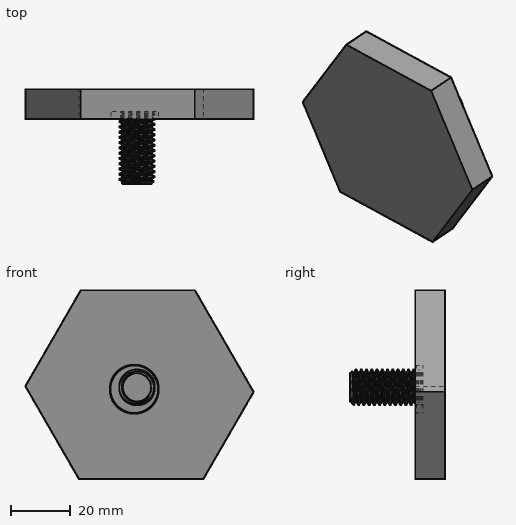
import cadquery as cq
import math

plate_width = 76.2
plate_height = 63.0
plate_thickness = 10.0
left_corner_z = -0.5
right_corner_z = -2.45
side_angle = 60.0

recess_diameter = 15.85
recess_rim_chamfer = 0.3
recess_depth = 2.5
recess_x = -1.75
recess_z = -1.5

overall_depth = 31.7
stud_x = -0.85
stud_z = -0.9
thread_diameter = 12.0
thread_pitch = 1.75
thread_depth = 1.1
crest_width = thread_pitch / 8
root_width = thread_pitch / 4
tip_chamfer = 1.3
ridge_embed = 0.04
envelope_clearance = 0.4
crest_radius = thread_diameter / 2
root_radius = crest_radius - thread_depth

front_y = 0.0
back_y = front_y + plate_thickness
recess_floor_y = front_y + recess_depth
tip_y = back_y - overall_depth
stud_length = recess_floor_y - tip_y


def front_workplane(x, y, z):
    """Workplane facing -Y: local X is X and local Y is Z."""
    return cq.Workplane("XZ", origin=(x, y, z))


def side_run(corner_z, edge_z):
    """X distance covered by a slanted side between a corner and a horizontal edge."""
    return abs(edge_z - corner_z) / math.tan(math.radians(side_angle))


def make_plate():
    half_width = plate_width / 2
    half_height = plate_height / 2
    outline = [
        (-half_width, left_corner_z),
        (-half_width + side_run(left_corner_z, half_height), half_height),
        (half_width - side_run(right_corner_z, half_height), half_height),
        (half_width, right_corner_z),
        (half_width - side_run(right_corner_z, -half_height), -half_height),
        (-half_width + side_run(left_corner_z, -half_height), -half_height),
    ]
    blank = front_workplane(0, back_y, 0).polyline(outline).close().extrude(plate_thickness)
    recess_radius = recess_diameter / 2
    recess = (
        front_workplane(recess_x, recess_floor_y, recess_z)
        .circle(recess_radius)
        .extrude(recess_depth)
    )
    rim_bevel = cq.Workplane(
        cq.Solid.makeCone(
            recess_radius + recess_rim_chamfer,
            recess_radius,
            recess_rim_chamfer,
            cq.Vector(recess_x, front_y, recess_z),
            cq.Vector(0, 1, 0),
        )
    )
    return blank.cut(recess).cut(rim_bevel)


def make_thread_ridge():
    """Right-handed helical ridge, built along +Z and longer than the stud at both ends."""
    base_radius = root_radius - ridge_embed
    crest_half = crest_width / 2
    flank_run = (thread_pitch - crest_width - root_width) / 2
    base_half = crest_half + flank_run * (1 + ridge_embed / thread_depth)
    first_turn = recess_depth - 2 * thread_pitch
    path = cq.Wire.makeHelix(thread_pitch, stud_length + 2 * thread_pitch, base_radius)
    ridge = (
        cq.Workplane("XZ")
        .moveTo(base_radius, -base_half)
        .lineTo(crest_radius, -crest_half)
        .lineTo(crest_radius, crest_half)
        .lineTo(base_radius, base_half)
        .close()
        .sweep(cq.Workplane(path), isFrenet=True)
    )
    return ridge.translate((0, 0, first_turn))


def make_stud():
    """Built along +Z from the recess floor, then turned to point along -Y."""
    envelope = (
        cq.Workplane("XY")
        .circle(crest_radius + envelope_clearance)
        .extrude(stud_length)
        .faces(">Z")
        .chamfer(tip_chamfer + envelope_clearance)
    )
    core = cq.Workplane("XY").circle(root_radius).extrude(stud_length).intersect(envelope)
    threaded = core.union(make_thread_ridge().intersect(envelope))
    return threaded.rotate((0, 0, 0), (1, 0, 0), 90).translate((stud_x, recess_floor_y, stud_z))


plate = make_plate()
stud = make_stud()
result = cq.Compound.makeCompound([plate.solids().val(), stud.solids().val()])